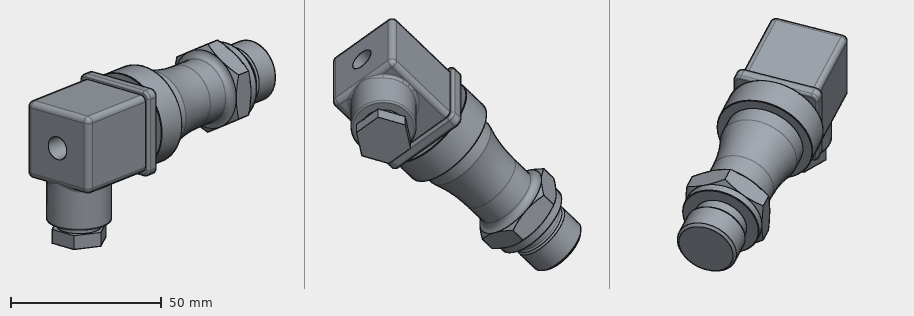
import cadquery as cq
import math

total_length = 100.2

thread_end = 91.0
collar_start = 86.2
hex_start = 83.2
hex_end = 75.7
flare_start = 65.3
flare_end = 49.9
ring_start = 44.0
flange_start = 33.5
housing_start = 29.1

thread_radius = 20.9 / 2
thread_chamfer = 0.9
relief_radius = 18.4 / 2
relief_fillet = 0.6
collar_radius = 27.1 / 2
collar_chamfer = 0.2
waist_radius = 22.0 / 2
hex_flats = 2 * collar_radius
hex_chamfer_angle = 30.0
ring_radius = 33.9 / 2
ring_chamfer = 0.2

flange_width = 30.1
flange_corner = 2.5
flange_round = 0.9
housing_width = 27.1
housing_round = 2.0

recess_diameter = 8.0
recess_depth = 20.0
socket_diameter = 4.0
socket_bore_diameter = 3.0
socket_depth = 2.0

gland_y = 11.0
gland_radius = 21.6 / 2
gland_bottom = -28.3
gland_edge_round = 0.6
gland_root_fillet = 1.0
gland_neck_diameter = 14.7
gland_nut_top = -30.6
gland_nut_height = 4.9
gland_nut_corners = 19.0


def make_turned_body():
    """Thread, relief, collar, hexagon core, flared waist and ring, revolved about Y."""
    neck_step = relief_radius + relief_fillet
    relief_start = thread_end - (thread_radius - neck_step)
    waist_fillet = collar_radius - waist_radius

    hollow_inset = 1 - math.sqrt(0.5)
    relief_inset = hollow_inset * relief_fillet
    waist_inset = hollow_inset * waist_fillet

    flare_length = flare_start - flare_end
    flare_rise = collar_radius - waist_radius
    flare_radius = (flare_length**2 + flare_rise**2) / (2 * flare_rise)
    flare_mid_rise = flare_radius - math.sqrt(flare_radius**2 - (flare_length / 2) ** 2)
    flare_middle = (waist_radius + flare_mid_rise, (flare_start + flare_end) / 2)

    profile = (
        cq.Workplane("XY")
        .moveTo(0, total_length)
        .lineTo(thread_radius - thread_chamfer, total_length)
        .lineTo(thread_radius, total_length - thread_chamfer)
        .lineTo(thread_radius, thread_end)
        .lineTo(neck_step, relief_start)
        .threePointArc(
            (relief_radius + relief_inset, relief_start - relief_inset),
            (relief_radius, relief_start - relief_fillet),
        )
        .lineTo(relief_radius, collar_start)
        .lineTo(collar_radius - collar_chamfer, collar_start)
        .lineTo(collar_radius, collar_start - collar_chamfer)
        .lineTo(collar_radius, hex_end)
        .threePointArc(
            (waist_radius + waist_inset, hex_end - waist_inset),
            (waist_radius, hex_end - waist_fillet),
        )
        .lineTo(waist_radius, flare_start)
        .threePointArc(flare_middle, (collar_radius, flare_end))
        .lineTo(collar_radius, ring_start)
        .lineTo(ring_radius - ring_chamfer, ring_start)
        .lineTo(ring_radius, ring_start - ring_chamfer)
        .lineTo(ring_radius, flange_start + ring_chamfer)
        .lineTo(ring_radius - ring_chamfer, flange_start)
        .lineTo(0, flange_start)
        .close()
    )
    return profile.revolve(360, (0, 0, 0), (0, 1, 0))


def make_body_hexagon():
    """Hexagon with flats facing +X and -X and its corners turned down at both ends."""
    corner_radius = hex_flats / 2 / math.cos(math.pi / 6)
    turn_down = (corner_radius - collar_radius) * math.tan(math.radians(hex_chamfer_angle))
    hexagon = (
        cq.Workplane("XZ", origin=(0, hex_start, 0))
        .transformed(rotate=(0, 0, 30))
        .polygon(6, 2 * corner_radius)
        .extrude(hex_start - hex_end)
    )
    envelope = (
        cq.Workplane("XY")
        .moveTo(0, hex_start)
        .lineTo(collar_radius, hex_start)
        .lineTo(corner_radius, hex_start - turn_down)
        .lineTo(corner_radius, hex_end + turn_down)
        .lineTo(collar_radius, hex_end)
        .lineTo(0, hex_end)
        .close()
        .revolve(360, (0, 0, 0), (0, 1, 0))
    )
    return hexagon.intersect(envelope)


def make_flange():
    """Square flange with rounded corners and rounded rims."""
    return (
        cq.Workplane("XZ", origin=(0, flange_start, 0))
        .rect(flange_width, flange_width)
        .extrude(flange_start - housing_start)
        .edges("|Y")
        .fillet(flange_corner)
        .faces("<Y or >Y")
        .edges()
        .fillet(flange_round)
    )


def make_housing():
    """Box housing with a rounded front, carrying the gland barrel on its underside."""
    box = (
        cq.Workplane("XZ", origin=(0, housing_start, 0))
        .rect(housing_width, housing_width)
        .extrude(housing_start)
        .edges("|Y or <Y")
        .fillet(housing_round)
    )
    barrel = (
        cq.Workplane("XY", origin=(0, gland_y, gland_bottom))
        .circle(gland_radius)
        .extrude(-gland_bottom)
        .faces("<Z")
        .edges()
        .fillet(gland_edge_round)
    )
    underside = cq.NearestToPointSelector((0, housing_start, -housing_width / 2))
    barrel_root = box.union(barrel).faces(underside).edges("%CIRCLE")
    return barrel_root.fillet(gland_root_fillet)


def make_gland_nut():
    """Short neck and hexagon nut under the gland barrel, corners towards +X and -X."""
    neck = (
        cq.Workplane("XY", origin=(0, gland_y, gland_nut_top))
        .circle(gland_neck_diameter / 2)
        .extrude(gland_bottom - gland_nut_top)
    )
    nut = (
        cq.Workplane("XY", origin=(0, gland_y, gland_nut_top))
        .polygon(6, gland_nut_corners)
        .extrude(-gland_nut_height)
    )
    return neck.union(nut)


def make_screw_recess():
    """Stepped recess in the housing face: wide bore, then a tapered socket."""
    bore = cq.Workplane("XZ").circle(recess_diameter / 2).extrude(-recess_depth)
    socket = (
        cq.Workplane("XZ", origin=(0, recess_depth, 0))
        .circle(socket_diameter / 2)
        .workplane(offset=-socket_depth)
        .circle(socket_bore_diameter / 2)
        .loft()
    )
    return bore.union(socket)


result = (
    make_turned_body()
    .union(make_body_hexagon())
    .union(make_flange())
    .union(make_housing())
    .union(make_gland_nut())
    .cut(make_screw_recess())
)